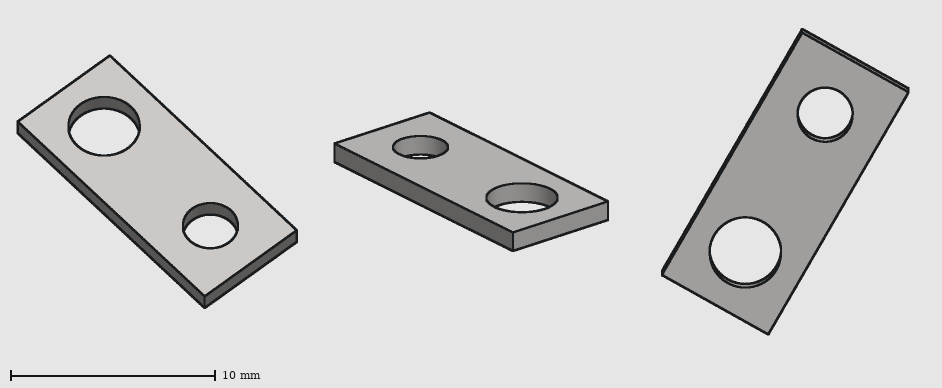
import cadquery as cq

length = 13.9
width = 6.0
thickness = 1.0

hole_end_distance = width / 2
large_hole_diameter = 3.5
small_hole_diameter = 2.7
hole_offset = length / 2 - hole_end_distance


def drill(body, x, diameter):
    """Cut a vertical through hole on the plate's lengthwise centreline."""
    return body.faces(">Z").workplane(origin=(0, 0, 0)).center(x, 0).hole(diameter)


plate = cq.Workplane("XY").box(length, width, thickness)
plate = drill(plate, -hole_offset, large_hole_diameter)
result = drill(plate, hole_offset, small_hole_diameter)